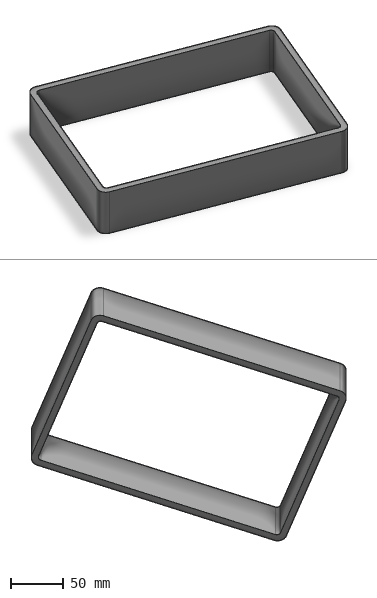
import cadquery as cq

width = 180.0
length = 260.0
height = 50.0

wall = 6.5
outer_radius = 9.0
inner_radius = 4.0


def rounded_block(size_x, size_y, corner_radius):
    """Block of the frame's height with rounded vertical edges."""
    block = cq.Workplane("XY").rect(size_x, size_y).extrude(height)
    return block.edges("|Z").fillet(corner_radius)


outer_body = rounded_block(width, length, outer_radius)
opening = rounded_block(width - 2 * wall, length - 2 * wall, inner_radius)

result = outer_body.cut(opening)